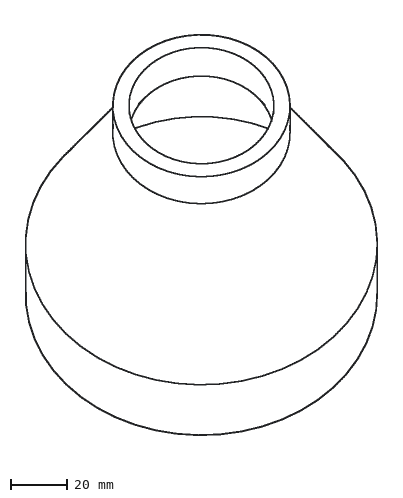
import cadquery as cq

base_diameter = 125.0
base_wall = 6.1
base_height = 30.0
neck_diameter = 63.0
neck_wall = 5.8
neck_height = 16.0
neck_bore_depth = 16.9
total_height = 112.0

base_radius = base_diameter / 2
neck_radius = neck_diameter / 2
base_bore_radius = base_radius - base_wall
neck_bore_radius = neck_radius - neck_wall
neck_bottom = total_height - neck_height
bore_neck_bottom = total_height - neck_bore_depth

wall_section = [
    (base_bore_radius, 0),
    (base_radius, 0),
    (base_radius, base_height),
    (neck_radius, neck_bottom),
    (neck_radius, total_height),
    (neck_bore_radius, total_height),
    (neck_bore_radius, bore_neck_bottom),
    (base_bore_radius, base_height),
]

result = (
    cq.Workplane("XZ")
    .polyline(wall_section)
    .close()
    .revolve(360, (0, 0), (0, 1))
)